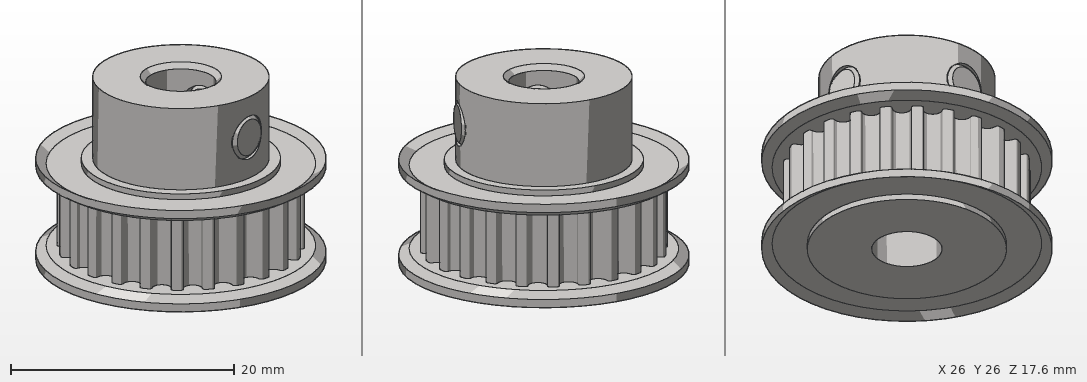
import cadquery as cq
import math

flange_radius = 13.0
total_height = 17.55
pulley_height = 9.75

sheet_thickness = 0.78
dish_depth = 0.55
dish_radius = 12.07
flange_inner_face = sheet_thickness + dish_depth
collar_radius = 8.92

tooth_count = 24
tooth_tip_radius = 11.08
groove_radius = 0.85
groove_depth = 1.27
groove_corner_radius = 0.29

hub_radius = 7.9
bore_radius = 3.15
bore_chamfer = 0.5

screw_radius = 2.05
screw_chamfer = 0.36
screw_inner_end = 3.25
screw_height = (pulley_height + total_height) / 2


def revolved(profile):
    """Turn a closed outline of (radius, height) points about Z."""
    return cq.Workplane("XZ").polyline(profile).close().revolve(360, (0, 0, 0), (0, 1, 0))


def bottom_flange():
    """Dished plate revolved about Z, with its bent rim resting at Z = 0."""
    profile = [
        (0, dish_depth),
        (dish_radius, dish_depth),
        (flange_radius, 0),
        (flange_radius, sheet_thickness),
        (dish_radius, flange_inner_face),
        (0, flange_inner_face),
    ]
    return revolved(profile)


def belt_groove():
    """Cutter for the groove at +Y: round floor, straight walls and rounded-over mouth."""
    arc_center_x = groove_radius + groove_corner_radius
    arc_center_distance = tooth_tip_radius - groove_corner_radius
    arc_center_y = math.sqrt(arc_center_distance**2 - arc_center_x**2)

    tip_angle = math.atan2(arc_center_y, arc_center_x)
    middle_angle = (tip_angle + math.pi) / 2
    tip_x = tooth_tip_radius * math.cos(tip_angle)
    tip_y = tooth_tip_radius * math.sin(tip_angle)
    middle_x = arc_center_x + groove_corner_radius * math.cos(middle_angle)
    middle_y = arc_center_y + groove_corner_radius * math.sin(middle_angle)

    floor_y = tooth_tip_radius - groove_depth
    wall_bottom_y = floor_y + groove_radius
    return (
        cq.Workplane("XY")
        .moveTo(-groove_radius, wall_bottom_y)
        .threePointArc((0, floor_y), (groove_radius, wall_bottom_y))
        .lineTo(groove_radius, arc_center_y)
        .threePointArc((middle_x, middle_y), (tip_x, tip_y))
        .lineTo(tip_x, flange_radius)
        .lineTo(-tip_x, flange_radius)
        .lineTo(-tip_x, tip_y)
        .threePointArc((-middle_x, middle_y), (-groove_radius, arc_center_y))
        .close()
        .extrude(pulley_height)
    )


def toothed_ring():
    """Cylinder between the flanges with evenly spaced belt grooves."""
    ring = cq.Workplane("XY", origin=(0, 0, flange_inner_face)).circle(tooth_tip_radius)
    ring = ring.extrude(pulley_height - 2 * flange_inner_face)
    groove = belt_groove()
    for index in range(tooth_count):
        ring = ring.cut(groove.rotate((0, 0, 0), (0, 0, 1), index * 360 / tooth_count))
    return ring


def screw_hole(angle):
    """Radial hole from the bore out through the hub, turned about Z from +X."""
    hole = cq.Workplane("YZ").center(0, screw_height).circle(screw_radius).extrude(collar_radius)
    return hole.rotate((0, 0, 0), (0, 0, 1), angle)


def set_screw(angle):
    """Screw along +X, turned about Z, with its outer end level with the hub's side."""
    screw = (
        cq.Workplane("YZ", origin=(screw_inner_end, 0, screw_height))
        .circle(screw_radius)
        .extrude(hub_radius - screw_inner_end)
        .faces("<X or >X")
        .chamfer(screw_chamfer)
    )
    return screw.rotate((0, 0, 0), (0, 0, 1), angle)


def bore():
    """Through bore with a countersunk mouth at the hub end."""
    profile = [
        (0, 0),
        (bore_radius, 0),
        (bore_radius, total_height - bore_chamfer),
        (bore_radius + bore_chamfer, total_height),
        (0, total_height),
    ]
    return revolved(profile)


flange = bottom_flange()
top_flange = flange.mirror("XY").translate((0, 0, pulley_height))
collar = cq.Workplane("XY").circle(collar_radius).extrude(pulley_height)
hub = cq.Workplane("XY").circle(hub_radius).extrude(total_height)

body = toothed_ring().union(flange).union(top_flange).union(collar).union(hub).cut(bore())
for screw_angle in (0, 90):
    body = body.cut(screw_hole(screw_angle)).union(set_screw(screw_angle))

result = body